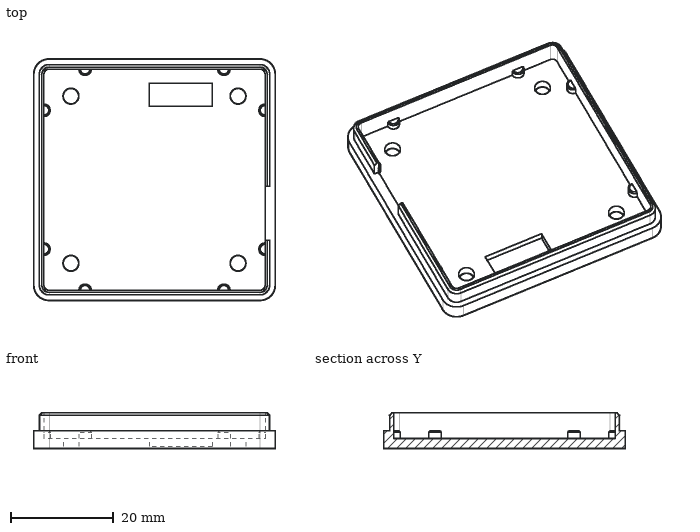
import cadquery as cq

outer_side = 47.0
outer_corner_radius = 3.0
base_height = 3.5
total_height = 7.0

lip_inset = 1.1
lip_chamfer = 0.5
wall_thickness = 0.9
floor_thickness = 2.0
lip_side = outer_side - 2 * lip_inset
lip_corner_radius = outer_corner_radius - lip_inset
lip_height = total_height - base_height
cavity_side = lip_side - 2 * wall_thickness
cavity_corner_radius = lip_corner_radius - wall_thickness
cavity_half = cavity_side / 2

hole_diameter = 3.0
hole_spacing = 32.5

peg_radius = 1.2
peg_height = 1.5
peg_chamfer = 0.25
peg_offset = 13.5
peg_sink = 0.3

pocket_length = 12.2
pocket_width = 4.5
pocket_depth = 1.5
pocket_center_x = 5.1
pocket_center_y = 16.5

notch_width = 10.5
notch_center_y = -6.5


def rounded_block(side, corner_radius, height, bottom):
    """Square block with rounded vertical edges, centred on the Z axis."""
    block = cq.Workplane("XY").workplane(offset=bottom).rect(side, side).extrude(height)
    return block.edges("|Z").fillet(corner_radius)


def tray_body():
    """Base plate with the chamfered lip on top, before hollowing."""
    base = rounded_block(outer_side, outer_corner_radius, base_height, 0)
    lip = rounded_block(lip_side, lip_corner_radius, lip_height, base_height)
    lip = lip.faces(">Z").edges().chamfer(lip_chamfer)
    return base.union(lip)


def cavity():
    """Open interior above the floor."""
    depth = total_height - floor_thickness
    return rounded_block(cavity_side, cavity_corner_radius, depth, floor_thickness)


def support_pegs():
    """Chamfered pegs centred on the inner wall faces, trimmed to end inside the walls."""
    places = []
    for side in (-1, 1):
        for along in (-peg_offset, peg_offset):
            places.append((side * cavity_half, along))
            places.append((along, side * cavity_half))
    pegs = (
        cq.Workplane("XY")
        .workplane(offset=floor_thickness - peg_sink)
        .pushPoints(places)
        .circle(peg_radius)
        .extrude(peg_height + peg_sink)
        .faces(">Z")
        .edges()
        .chamfer(peg_chamfer)
    )
    trim_side = cavity_side + 2 * peg_sink
    trim = cq.Workplane("XY").rect(trim_side, trim_side).extrude(total_height)
    return pegs.intersect(trim)


def screw_holes():
    """Four through holes on a square pattern."""
    return (
        cq.Workplane("XY")
        .rect(hole_spacing, hole_spacing, forConstruction=True)
        .vertices()
        .circle(hole_diameter / 2)
        .extrude(total_height)
    )


def floor_pocket():
    """Blind rectangular recess in the floor."""
    return (
        cq.Workplane("XY")
        .workplane(offset=floor_thickness - pocket_depth)
        .center(pocket_center_x, pocket_center_y)
        .rect(pocket_length, pocket_width)
        .extrude(pocket_depth)
    )


def lip_notch():
    """Opening that removes the +X lip wall down to the top of the base."""
    length = outer_side / 2 - cavity_half
    return (
        cq.Workplane("XY")
        .workplane(offset=base_height)
        .center(cavity_half + length / 2, notch_center_y)
        .rect(length, notch_width)
        .extrude(lip_height)
    )


result = (
    tray_body()
    .cut(cavity())
    .union(support_pegs())
    .cut(screw_holes())
    .cut(floor_pocket())
    .cut(lip_notch())
)